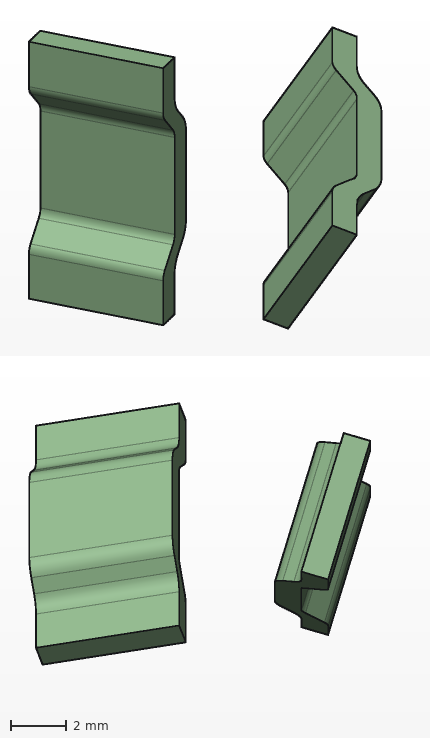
import cadquery as cq
import math

width = 5.33
length = 10.3
depth = 2.01
thickness = depth / 2

bend_angle = math.radians(45)
front_radius = 0.49
back_radius = 1.0
front_tab_length = 1.79
back_web_half_length = 1.74

front_face = -depth / 2
middle_plane = front_face + thickness
back_face = depth / 2


def step_height(radius):
    """Z extent of an S-step of depth `thickness` with two equal bend arcs."""
    arc_depth = radius * (1 - math.cos(bend_angle))
    slope_height = (thickness - 2 * arc_depth) / math.tan(bend_angle)
    return 2 * radius * math.sin(bend_angle) + slope_height


def add_step(sketch, start, end, radius):
    """Trace a step between two (y, z) points: arc, 45 degree slope, arc."""
    y_sign = math.copysign(1, end[0] - start[0])
    z_sign = math.copysign(1, end[1] - start[1])

    def arc_offset(angle):
        return (
            y_sign * radius * (1 - math.cos(angle)),
            z_sign * radius * math.sin(angle),
        )

    mid_y, mid_z = arc_offset(bend_angle / 2)
    full_y, full_z = arc_offset(bend_angle)
    return (
        sketch.lineTo(*start)
        .threePointArc((start[0] + mid_y, start[1] + mid_z), (start[0] + full_y, start[1] + full_z))
        .lineTo(end[0] - full_y, end[1] - full_z)
        .threePointArc((end[0] - mid_y, end[1] - mid_z), end)
    )


end_z = length / 2
front_tab_z = end_z - front_tab_length
front_web_z = front_tab_z - step_height(front_radius)
back_web_z = back_web_half_length
back_tab_z = back_web_z + step_height(back_radius)

profile = cq.Workplane("YZ").moveTo(front_face, -end_z)
profile = add_step(profile, (front_face, -front_tab_z), (middle_plane, -front_web_z), front_radius)
profile = add_step(profile, (middle_plane, front_web_z), (front_face, front_tab_z), front_radius)
profile = profile.lineTo(front_face, end_z).lineTo(middle_plane, end_z)
profile = add_step(profile, (middle_plane, back_tab_z), (back_face, back_web_z), back_radius)
profile = add_step(profile, (back_face, -back_web_z), (middle_plane, -back_tab_z), back_radius)
profile = profile.lineTo(middle_plane, -end_z).close()

result = profile.extrude(width / 2, both=True)